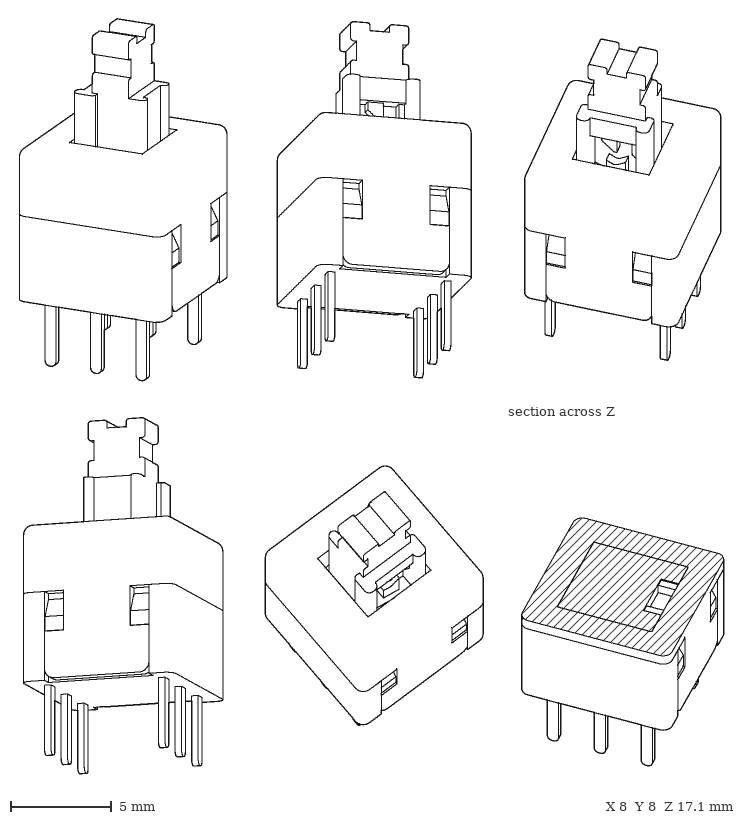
import cadquery as cq

housing_side = 8.0
housing_height = 8.0
base_height = 4.5
edge_radius = 0.5
outer_x = housing_side / 2

opening_side = 4.0
cavity_side = 5.0
cavity_height = 1.5
foot_top = base_height + cavity_height

tab_width = 5.5
tab_thickness = 0.6
tab_bottom = 0.1
tab_corner_radius = 0.5
tab_inner_x = outer_x - tab_thickness
window_width = 1.0
window_bottom = 2.5
window_center_y = (tab_width - window_width) / 2

wedge_reach = 0.5
wedge_flat_top = 3.25
wedge_top = 4.2

pin_width = 0.6
pin_thickness = 0.35
pin_length = 3.5
pin_end_radius = 0.28
pin_pitch = 2.5
pin_row_y = 3.0

slide_top = 10.6
slide_body_y = 1.5
slide_web_x = 1.58
left_lobe_tip_x = -1.9
left_lobe_y = 1.9
left_notch_y = 1.2
left_lobe_radius = 0.3
left_lobe_end_x = -0.7
end_arc_x = 0.2
end_arc_y = 0.15
end_arc_radius = (end_arc_x**2 + end_arc_y**2) / (2 * end_arc_y)
right_lobe_radius = 0.25
right_lobe_center_x = 1.65
right_notch_y = slide_body_y - 2 * right_lobe_radius

stem_width_x = 2.0
stem_top = 13.6
stem_rounding = 0.15
top_notch_width = 1.0
top_notch_depth = 0.4
side_notch_depth = 0.3
side_notch_bottom = 11.6
side_notch_top = 12.6

track_floor_x = -0.8
island_face_x = -1.3
track_top = 9.4
track_bottom_left = 7.0
track_bottom_right = 6.1
heart_valley = (0.0, 7.52)
heart_valley_radius = 0.3

rib_inner_y = 0.8
rib_height = 0.5


def box(x_range, y_range, z_range):
    """Axis-aligned block between the given limits."""
    size = [high - low for low, high in (x_range, y_range, z_range)]
    corner = (x_range[0], y_range[0], z_range[0])
    return cq.Workplane("XY").box(*size, centered=False).translate(corner)


def square_block(side, bottom, top):
    """Square block centred on the Z axis."""
    return cq.Workplane("XY").workplane(offset=bottom).rect(side, side).extrude(top - bottom)


def yz_prism(points, x_low, x_high):
    """Prism along X with a polygonal (y, z) outline."""
    return cq.Workplane("YZ").workplane(offset=x_low).polyline(points).close().extrude(x_high - x_low)


def both_x_sides(shape):
    """A feature on the +X side together with its mirror image on the -X side."""
    return shape.union(shape.mirror("YZ"))


def make_cover():
    cover = square_block(housing_side, base_height, housing_height)
    cover = cover.edges("|Z").fillet(edge_radius)
    cover = cover.faces(">Z").edges().fillet(edge_radius)
    cover = cover.cut(square_block(cavity_side, base_height, foot_top))
    cover = cover.cut(square_block(opening_side, foot_top, housing_height))

    half_width = tab_width / 2
    tab = box((tab_inner_x, outer_x), (-half_width, half_width), (tab_bottom, base_height))
    tab = tab.edges("|X and <Z").fillet(tab_corner_radius)
    for side in (-1, 1):
        center_y = side * window_center_y
        window_y = (center_y - window_width / 2, center_y + window_width / 2)
        tab = tab.cut(box((tab_inner_x, outer_x), window_y, (window_bottom, base_height)))
    return cover.union(both_x_sides(tab))


def make_base():
    base = square_block(housing_side, 0, base_height).edges("|Z").fillet(edge_radius)
    half_width = tab_width / 2
    recess = box((tab_inner_x, outer_x), (-half_width, half_width), (0, base_height))
    base = base.cut(both_x_sides(recess))

    wedge_outline = [
        (tab_inner_x, window_bottom),
        (tab_inner_x + wedge_reach, window_bottom),
        (tab_inner_x + wedge_reach, wedge_flat_top),
        (tab_inner_x, wedge_top),
    ]
    wedge = cq.Workplane("XZ").polyline(wedge_outline).close().extrude(window_width / 2, both=True)
    for side in (-1, 1):
        base = base.union(both_x_sides(wedge.translate((0, side * window_center_y, 0))))
    return base


def make_slide():
    outline = (
        cq.Workplane("XY")
        .workplane(offset=base_height)
        .moveTo(-slide_web_x, 0)
        .lineTo(-slide_web_x, left_notch_y)
        .lineTo(left_lobe_tip_x + left_lobe_radius, left_notch_y)
        .radiusArc((left_lobe_tip_x, left_notch_y + left_lobe_radius), left_lobe_radius)
        .lineTo(left_lobe_tip_x, left_lobe_y - left_lobe_radius)
        .radiusArc((left_lobe_tip_x + left_lobe_radius, left_lobe_y), left_lobe_radius)
        .lineTo(left_lobe_end_x - end_arc_x, left_lobe_y)
        .radiusArc((left_lobe_end_x, left_lobe_y - end_arc_y), end_arc_radius)
        .lineTo(left_lobe_end_x, slide_body_y)
        .lineTo(right_lobe_center_x, slide_body_y)
        .threePointArc(
            (right_lobe_center_x + right_lobe_radius, slide_body_y - right_lobe_radius),
            (right_lobe_center_x, right_notch_y),
        )
        .lineTo(slide_web_x, right_notch_y)
        .lineTo(slide_web_x, 0)
    )
    return outline.mirrorX().extrude(slide_top - base_height)


def make_foot():
    foot = square_block(cavity_side, base_height, foot_top)
    notch_x = (-cavity_side / 2, -slide_web_x)
    foot = foot.cut(box(notch_x, (-left_notch_y, left_notch_y), (base_height, foot_top)))
    rib = box(notch_x, (rib_inner_y, left_notch_y), (base_height, base_height + rib_height))
    return foot.union(rib).union(rib.mirror("XZ"))


def make_stem():
    half_x = stem_width_x / 2
    stem = box((-half_x, half_x), (-slide_body_y, slide_body_y), (slide_top, stem_top))
    half_notch = top_notch_width / 2
    notch_floor = stem_top - top_notch_depth
    stem = stem.cut(box((-half_x, half_x), (-half_notch, half_notch), (notch_floor, stem_top)))
    side_notch = box(
        (-half_x, half_x),
        (slide_body_y - side_notch_depth, slide_body_y),
        (side_notch_bottom, side_notch_top),
    )
    stem = stem.cut(side_notch).cut(side_notch.mirror("XZ"))
    stem = stem.faces(">Z").edges("|X").fillet(stem_rounding)
    for side in (-1, 1):
        for notch_edge_z in (side_notch_bottom, side_notch_top):
            edge_point = (0, side * slide_body_y, notch_edge_z)
            stem = stem.edges(cq.NearestToPointSelector(edge_point)).fillet(stem_rounding)
    return stem


def make_cam_track():
    """The space to remove from the slide: the pocket without its cam islands."""
    pocket_outline = [
        (left_notch_y, track_top),
        (left_notch_y, track_bottom_left),
        (-left_notch_y, track_bottom_right),
        (-left_notch_y, track_top),
    ]
    pocket = yz_prism(pocket_outline, -slide_web_x, track_floor_x)
    middle_guide = [(0.7, track_top), (0.7, 9.0), (0.05, 8.4), (-0.1, 8.4), (-0.1, track_top)]
    side_guide = [(-0.9, track_top), (-0.9, 8.45), (-left_notch_y, 8.15), (-left_notch_y, track_top)]
    heart_cam_outline = [
        (0.45, 7.75),
        heart_valley,
        (-0.55, 7.85),
        (-0.55, track_bottom_right),
        (0.45, track_bottom_right),
    ]
    heart_cam = yz_prism(heart_cam_outline, island_face_x, track_floor_x)
    valley_edge = cq.NearestToPointSelector(((island_face_x + track_floor_x) / 2, *heart_valley))
    heart_cam = heart_cam.edges(valley_edge).fillet(heart_valley_radius)
    for outline in (middle_guide, side_guide):
        pocket = pocket.cut(yz_prism(outline, island_face_x, track_floor_x))
    return pocket.cut(heart_cam)


def make_plunger():
    return make_slide().cut(make_cam_track()).union(make_foot()).union(make_stem())


def make_pin(x, y):
    pin = cq.Workplane("XY").box(pin_width, pin_thickness, pin_length, centered=(True, True, False))
    pin = pin.edges("|Y and <Z").fillet(pin_end_radius)
    return pin.translate((x, y, -pin_length))


cover = make_cover()
base = make_base()
plunger = make_plunger()
pins = []
for row_y in (-pin_row_y, pin_row_y):
    for column in (-1, 0, 1):
        pins.append(make_pin(column * pin_pitch, row_y).val())

result = cq.Compound.makeCompound(
    [*cover.solids().vals(), *base.solids().vals(), *plunger.solids().vals(), *pins]
)